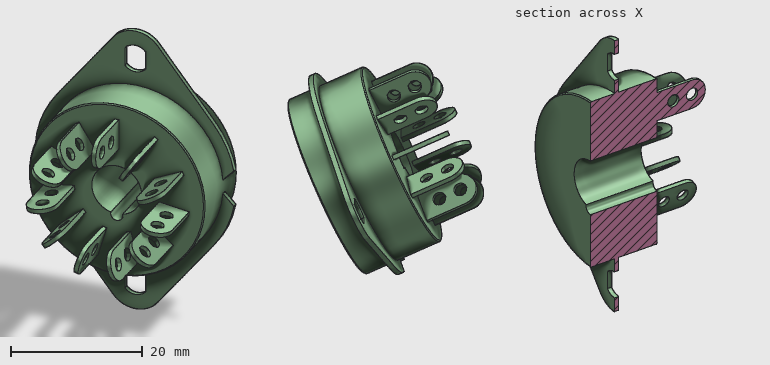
import cadquery as cq
import math

body_diameter = 29.0
body_length = 12.5
body_edge_chamfer = 0.2

flange_height = 47.35
flange_thickness = 0.8
flange_setback = 7.2
flange_radius = 16.55
ear_radius = 4.7
ear_offset = flange_height / 2 - ear_radius

mount_hole_diameter = 4.5
mount_hole_width = 3.4

notch_apex_x = 13.3
notch_depth = 4.75

bore_diameter = 8.2
keyway_diameter = 2.0
keyway_offset = 4.2

terminal_count = 11
terminal_pitch = 360.0 / terminal_count
terminal_center_radius = 9.5
terminal_width = 5.0
terminal_thickness = 0.7
terminal_length = 9.0
terminal_hole_diameter = 2.0
terminal_hole_spacing = 3.5


def xz_plane(y):
    """Sketch plane facing -Y at the given Y, with local x = X and local y = Z."""
    return cq.Workplane("XZ", origin=(0, y, 0))


def make_body():
    body = xz_plane(body_length).circle(body_diameter / 2).extrude(body_length)
    return body.faces("<Y or >Y").chamfer(body_edge_chamfer)


def make_flange():
    tangent_sine = (flange_radius - ear_radius) / ear_offset
    tangent_cosine = math.sqrt(1 - tangent_sine**2)
    side_x = flange_radius * tangent_cosine
    side_z = flange_radius * tangent_sine
    ear_x = ear_radius * tangent_cosine
    ear_z = ear_offset + ear_radius * tangent_sine
    back_y = flange_setback + flange_thickness
    outline = (
        xz_plane(back_y)
        .moveTo(side_x, -side_z)
        .threePointArc((flange_radius, 0), (side_x, side_z))
        .lineTo(ear_x, ear_z)
        .threePointArc((0, flange_height / 2), (-ear_x, ear_z))
        .lineTo(-side_x, side_z)
        .threePointArc((-flange_radius, 0), (-side_x, -side_z))
        .lineTo(-ear_x, -ear_z)
        .threePointArc((0, -flange_height / 2), (ear_x, -ear_z))
        .close()
    )
    flange = outline.extrude(flange_thickness)

    hole_centers = [(0, ear_offset), (0, -ear_offset)]
    round_holes = xz_plane(back_y).pushPoints(hole_centers).circle(mount_hole_diameter / 2)
    side_flats = xz_plane(back_y).pushPoints(hole_centers).rect(mount_hole_width, mount_hole_diameter)
    mount_holes = round_holes.extrude(flange_thickness).intersect(side_flats.extrude(flange_thickness))

    notch_mouth_x = notch_apex_x + notch_depth
    notch = (
        xz_plane(back_y)
        .polyline([(notch_apex_x, 0), (notch_mouth_x, notch_depth), (notch_mouth_x, -notch_depth)])
        .close()
        .extrude(flange_thickness)
    )
    return flange.cut(mount_holes).cut(notch)


def make_bore():
    bore = xz_plane(body_length).circle(bore_diameter / 2).extrude(body_length)
    keyway = xz_plane(body_length).center(0, -keyway_offset).circle(keyway_diameter / 2).extrude(body_length)
    return bore.union(keyway)


def make_terminal():
    """Terminal blade standing on the body face at the top (+Z) position."""
    tip_radius = terminal_width / 2
    tip_center_y = tip_radius - terminal_length
    inner_z = terminal_center_radius - tip_radius
    outer_z = terminal_center_radius + tip_radius
    sketch_plane = cq.Workplane("YZ", origin=(-terminal_thickness / 2, 0, 0))
    blade = (
        sketch_plane
        .moveTo(0, inner_z)
        .lineTo(tip_center_y, inner_z)
        .threePointArc((-terminal_length, terminal_center_radius), (tip_center_y, outer_z))
        .lineTo(0, outer_z)
        .close()
        .extrude(terminal_thickness)
    )
    hole_centers = [
        (tip_center_y, terminal_center_radius),
        (tip_center_y + terminal_hole_spacing, terminal_center_radius),
    ]
    holes = sketch_plane.pushPoints(hole_centers).circle(terminal_hole_diameter / 2)
    return blade.cut(holes.extrude(terminal_thickness))


result = make_body().union(make_flange()).cut(make_bore())
terminal = make_terminal()
for index in range(terminal_count):
    result = result.union(terminal.rotate((0, 0, 0), (0, 1, 0), index * terminal_pitch))